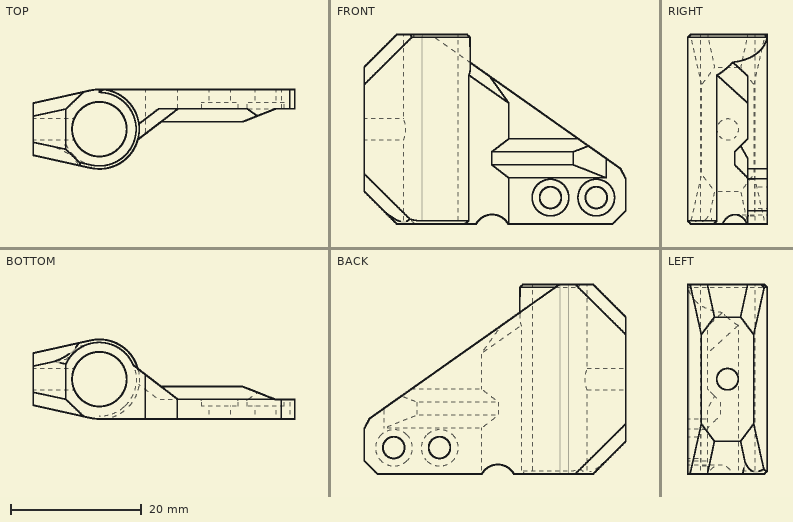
import cadquery as cq
import math

length = 40.0
height = 29.0
tube_radius = 6.1
tube_x = 10.1
bore_diameter = 8.3
rim_chamfer = 0.5
nose_half_width = 4.0
nose_chamfer = 5.0

bevel_nose_half_width = 2.0
bevel_top_half_width = 3.1
bevel_drop = 7.7
screw_diameter = 3.3

plate_thickness = 3.0
plate_back = tube_radius
plate_front = plate_back - plate_thickness
shoulder_x = 39.2
shoulder_z = 8.5
tip_top_z = 6.9
tip_chamfer = 2.05

gusset_end_x = 22.1
gusset_slope = 0.77
gusset_root_x = 14.4
gusset_bevel_z = 18.5
gusset_bevel_top_x = 19.15

rib_height = 2.0
rib_top_width = 2.0
rib_center_z = 10.05
rib_start_x = 18.8
rib_base_end_x = 37.05
rib_top_end_x = 32.0

hole_xs = (28.5, 35.5)
hole_z = 4.05
hole_diameter = 3.3
head_diameter = 5.6
head_depth = 1.0
notch_x = 19.55
notch_z = -1.35

cut_size = 80.0


def half_space(point_a, point_b, point_c, inside):
    """Large block on the side of plane ABC that does not hold the point 'inside'."""
    a = cq.Vector(*point_a)
    normal = (cq.Vector(*point_b) - a).cross(cq.Vector(*point_c) - a)
    if normal.dot(cq.Vector(*inside) - a) > 0:
        normal = normal * -1
    plane = cq.Plane(origin=a.toTuple(), normal=normal.toTuple())
    return cq.Workplane(plane).rect(cut_size, cut_size).extrude(cut_size)


def cylinder_along_y(x, z, diameter, y_start, y_end):
    """Cylinder parallel to Y between two Y positions."""
    start = cq.Workplane("XZ", origin=(x, y_start, z))
    return start.circle(diameter / 2).extrude(y_start - y_end)


def make_tube():
    """Round tube that tapers tangentially to the flat nose, with bevelled ends."""
    nose_distance = math.hypot(tube_x, nose_half_width)
    tangent_angle = math.atan2(nose_half_width, -tube_x) - math.acos(tube_radius / nose_distance)
    tangent_x = tube_x + tube_radius * math.cos(tangent_angle)
    tangent_y = tube_radius * math.sin(tangent_angle)
    blank = (
        cq.Workplane("XY")
        .moveTo(0, -nose_half_width)
        .lineTo(tangent_x, -tangent_y)
        .threePointArc((tube_x + tube_radius, 0), (tangent_x, tangent_y))
        .lineTo(0, nose_half_width)
        .close()
        .extrude(height)
    )

    body = blank.faces(">Z").chamfer(rim_chamfer)

    cone_radius = tube_radius - rim_chamfer
    rim_cone = (
        cq.Workplane("XZ", origin=(tube_x, 0, 0))
        .polyline([(0, 0), (cone_radius, 0), (cone_radius + height, height), (0, height)])
        .close()
        .revolve(360, (0, 0), (0, 1))
    )
    body = body.intersect(rim_cone)

    back_quarter = cq.Workplane("XY").box(tube_x, tube_radius, height, centered=False)
    body = body.union(blank.intersect(back_quarter))

    center = (tube_x, 0, height / 2)
    for end_z, inward in ((height, -1), (0, 1)):
        nose_z = end_z + inward * nose_chamfer
        body = body.cut(half_space((0, 0, nose_z), (0, 0.4, nose_z), (nose_chamfer, 0, end_z), center))
        for side in (-1, 1):
            body = body.cut(
                half_space(
                    (0, side * bevel_nose_half_width, nose_z),
                    (0, side * nose_half_width, end_z + inward * bevel_drop),
                    (nose_chamfer, side * bevel_top_half_width, end_z),
                    center,
                )
            )
    return body


def make_outline_prism(y_front):
    """Plate outline extruded from y_front to the back face."""
    return (
        cq.Workplane("XZ", origin=(0, plate_back, 0))
        .polyline(
            [
                (tube_x, 0),
                (length - tip_chamfer, 0),
                (length, tip_chamfer),
                (length, tip_top_z),
                (shoulder_x, shoulder_z),
                (tube_x, height),
            ]
        )
        .close()
        .extrude(plate_back - y_front)
    )


def make_gusset():
    """Vertical wedge from the plate to the tube wall, with a sloping bevel on top."""
    root_y = plate_front - gusset_slope * (gusset_end_x - gusset_root_x)
    wedge = (
        cq.Workplane("XY")
        .polyline([(gusset_end_x, plate_front), (gusset_root_x, plate_front), (gusset_root_x, root_y)])
        .close()
        .extrude(height)
    )
    edge_slope = (height - shoulder_z) / (shoulder_x - tube_x)
    bevel_top_z = height - edge_slope * (gusset_bevel_top_x - tube_x)
    tube_side_x = tube_x + tube_radius
    tube_side_y = plate_front - gusset_slope * (gusset_end_x - tube_side_x)
    bevel = half_space(
        (gusset_end_x, plate_front, gusset_bevel_z),
        (gusset_bevel_top_x, plate_front, bevel_top_z),
        (tube_side_x, tube_side_y, bevel_top_z),
        (gusset_end_x, plate_front, 0),
    )
    return wedge.cut(bevel)


def make_rib():
    """Trapezoidal rib with 45 degree flanks and a long sloping end."""
    half_top = rib_top_width / 2
    half_base = half_top + rib_height
    rib_top_y = plate_front - rib_height
    rib = (
        cq.Workplane("YZ", origin=(rib_start_x, 0, rib_center_z))
        .polyline(
            [
                (plate_front, -half_base),
                (rib_top_y, -half_top),
                (rib_top_y, half_top),
                (plate_front, half_base),
            ]
        )
        .close()
        .extrude(rib_base_end_x - rib_start_x)
    )
    sloping_end = half_space(
        (rib_base_end_x, plate_front, 0),
        (rib_base_end_x, plate_front, height),
        (rib_top_end_x, rib_top_y, 0),
        (rib_start_x, plate_front, 0),
    )
    return rib.cut(sloping_end)


plate = make_outline_prism(plate_front)
stiffeners = make_gusset().union(make_rib()).intersect(make_outline_prism(-tube_radius))
result = make_tube().union(plate).union(stiffeners)

result = result.cut(cq.Workplane("XY").center(tube_x, 0).circle(bore_diameter / 2).extrude(height))
screw_start = cq.Workplane("YZ", origin=(0, 0, height / 2))
result = result.cut(screw_start.circle(screw_diameter / 2).extrude(tube_x))

for hole_x in hole_xs:
    result = result.cut(cylinder_along_y(hole_x, hole_z, hole_diameter, plate_back, plate_front))
    result = result.cut(cylinder_along_y(hole_x, hole_z, head_diameter, plate_front + head_depth, plate_front))
result = result.cut(cylinder_along_y(notch_x, notch_z, head_diameter, plate_back, -tube_radius))